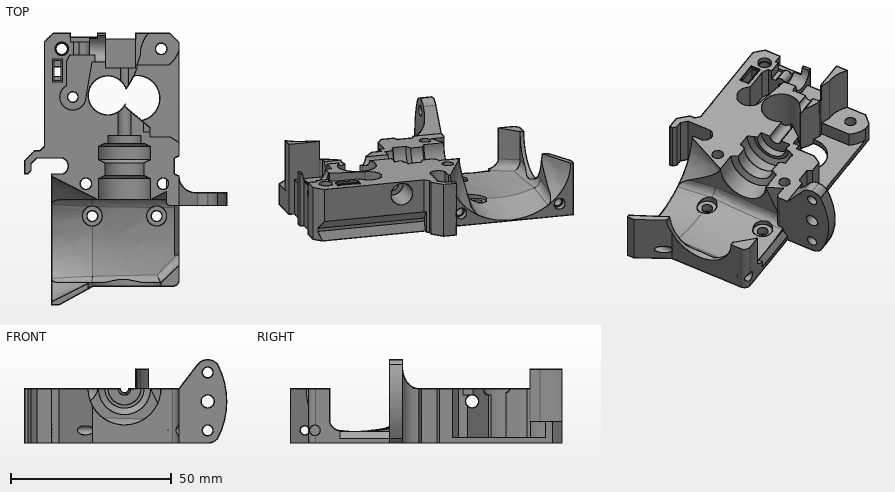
import cadquery as cq
import math


BODY_HEIGHT = 17.0
BOTTOM = -BODY_HEIGHT
OVERCUT = 1.0

BODY_LEFT = -24.9
BODY_RIGHT = 17.0
REAR_CHAMFER = 2.8
REAR_CHAMFER_RIGHT = 3.0
HOOK_LEFT = -31.04
HOOK_BACK = -36.6
HOOK_FRONT = -43.8
HOOK_ROOT_CHAMFER = 1.4
HOOK_CORNER = 3.1
HOOK_INNER_CORNER = 1.8
HOOK_TIP_CHAMFER = 1.0
HOOK_WALL = 2.0
SLOT_BACK = -38.9
SLOT_END = -17.5
SLOT_CORNER = 1.7
DUCT_LEFT = -22.67
DUCT_FRONT = -84.5
FRONT_FACE = -78.8
FRONT_LIP_RIGHT = -20.3
FRONT_KINK = -9.9
FRONT_CORNER_RADIUS = 2.1
NOTCH_DEPTH = 1.5
NOTCH_BACK = -38.2
NOTCH_FRONT = -44.5
NOTCH_TAPER = 0.75

SIDE_GROOVE_TOP = -10.5
SIDE_GROOVE_UPPER = -13.1
SIDE_GROOVE_LOWER = -14.1
SIDE_GROOVE_DEPTH = 1.65
SIDE_GROOVE_FRONT = -35.8
SIDE_GROOVE_FOOT = 0.45

RECESS_LEFT = -5.9
RECESS_RIGHT = 3.5
RECESS_FRONT = -10.9
RECESS_SHELF = -1.8
RECESS_DEPTH = 5.7
INLET_DIAMETER = 2.6
OUTLET_DIAMETER = 4.0
GEAR_SPLIT = -20.0
SEAT_BACK = -31.8
SEAT_TIP_DIAMETER = 10.2
SEAT_TIP_FRONT = -34.3
SEAT_NECK_DIAMETER = 12.2
SEAT_DIAMETER = 16.2
SEAT_CONE = 1.0
SEAT_NECK_BACK = -40.4
SEAT_NECK_FRONT = -44.3

GEAR_CENTER = (-5.2, -19.4)
GEAR_DIAMETER = 12.1
IDLER_CENTER = (3.9, -20.3)
IDLER_DIAMETER = 14.1
IDLER_POCKET_DEPTH = 15.2
REAR_DECK_DEPTH = 10.3
IDLER_BACK = -9.9
IDLER_FRONT = -32.3
IDLER_BACK_LEFT = 3.9
IDLER_BACK_CUSP = (0.46, -17.45)
IDLER_BACK_EDGE = (2.4, -14.3)
IDLER_FRONT_CUSP = (0.2, -22.9)
IDLER_ARC_START = (13.8, IDLER_BACK)
IDLER_ARC_MIDDLE = (15.8, -7.8)
IDLER_ARC_END_Y = -5.2
IDLER_MOUTH_X = 14.2
IDLER_MOUTH_FRONT = -34.1
IDLER_CORNER_X = 7.88
IDLER_CORNER_Y = -29.4
IDLER_RELIEF_LEFT = 5.85
IDLER_RELIEF_BACK = -27.6
IDLER_RELIEF_FRONT = -30.8
IDLER_RELIEF_DEPTH = 2.0

FIN_HEIGHT = 6.0
FIN_LENGTH = 10.0
FIN_BASE_WIDTH = 4.0
FIN_TIP_WIDTH = 0.4
FIN_CURVE_MIDDLE = (5.4, -3.7)
FIN_CURVE_END = (4.9, -6.9)

LEVER_PIVOT = (-16.06, -19.9)
LEVER_RADIUS = 4.07
LEVER_LEFT = -18.05
LEVER_BACK = -6.87
LEVER_CHAMFER = 1.0
LEVER_RIGHT = -10.1
LEVER_STEP_X = -9.15
LEVER_STEP_Y = -8.95
LEVER_DEPTH = 11.0
BALL_AXIS_Y = -4.88
BALL_RADIUS = 4.07
BALL_LEFT = -10.85
MAGNET_LEFT = -15.8
MAGNET_BACK = -2.8
MAGNET_DEPTH = 3.5
MAGNET_SADDLE_X = -12.5
MAGNET_SADDLE_DIAMETER = 3.4
LEVER_PIN_DIAMETER = 1.7
LEVER_PIN_Z = -5.0
REAR_NOTCH_LEFT = -16.8
REAR_NOTCH_RIGHT = -8.4
REAR_NOTCH_DEPTH = 1.3
REAR_LEDGE_DEPTH = 2.5

NUT_CENTER = (-20.85, -11.7)
NUT_RIM = (3.1, 7.2)
NUT_SIZE = (2.1, 6.2)
NUT_OPENING_CENTER = (-20.85, -12.0)
NUT_OPENING = (2.1, 3.0)
NUT_RIM_DEPTH = 0.6
NUT_DEPTH = 10.0

SCREW_DIAMETER = 3.5
REAR_HOLE_LEFT = (-19.5, -4.93)
REAR_HOLE_RIGHT = (11.4, -4.93)
REAR_BORE_DIAMETER = 4.2
REAR_BORE_DEPTH = 1.5
PIVOT_DIAMETER = 3.2
MID_HOLE_X = 12.0
MID_HOLE_Y = -46.85
MID_LEDGE_X = 13.0
MID_LEDGE_HEIGHT = 4.0
FLOOR_HOLE_X = 10.0
FLOOR_HOLE_Y = -56.9
FLOOR_HOLE_DIAMETER = 3.3
FLOOR_BORE_DIAMETER = 6.2
FLOOR_BORE_SEAT = -14.0
TENSION_Y = -28.0
TENSION_Z = -4.0
TENSION_DIAMETER = 4.0
TENSION_BORE_DIAMETER = 7.0
TENSION_BORE_DEPTH = 10.0
FAN_HOLE_Z = -13.0
FAN_HOLE_BACK_Y = -48.0
FAN_HOLE_FRONT_Y = -80.0
FAN_HOLE_DIAMETER = 2.8
FAN_MOUTH_DIAMETER = 3.5
FAN_MOUTH_DEPTH = 2.5
FAN_BACK_HOLE_DEPTH = 8.0
POST_HOLE_Y = -76.85
POST_HOLE_DEPTH = 3.5

DUCT_AXIS_Y = -64.05
DUCT_INLET_HALF_WIDTH = 19.55
DUCT_INLET_DEPTH = 16.7
DUCT_OUTLET_HALF_WIDTH = 30.0
DUCT_OUTLET_DEPTH = 13.4
DUCT_BACK = -51.8
DUCT_INNER_FRONT = -77.6
DUCT_OUTLET_BACK = -53.7
DUCT_MIDDLE_X = -10.0
DUCT_MIDDLE_HALF_WIDTH = 22.0
DUCT_FLARE_X = -8.3
DUCT_FLARE_DEPTH = 8.0
DUCT_FILLET = 3.0
FOOT_EDGE_TOP = -8.0
LIP_LEFT = 15.5
LIP_FRONT = -69.0
LIP_BOTTOM = -15.5
FRONT_POST_BACK = -72.2
FRONT_POST_LEFT = 11.4
POST_RELIEF_BACK = -49.3
POST_RELIEF_DEPTH = 10.0
POST_LEFT = 13.0
POST_CORNER = 1.2
SADDLE_RADIUS = 11.3
DUCT_BOTTOM_CHAMFER_Y = 3.2
DUCT_BOTTOM_CHAMFER_Z = 4.6
DUCT_BOTTOM_CHAMFER_RIGHT = -17.5

EAR_BACK = -49.6
EAR_FRONT = -53.7
EAR_RIGHT = 31.83
EAR_HOLE_X = 25.87
EAR_HOLE_PITCH = 9.0
EAR_MIDDLE_Z = -4.0
EAR_END_RADIUS = 4.0
EAR_SIDE_X = 28.97
EAR_SIDE_RISE = 11.55
EAR_HOLE_DIAMETER = 3.3
EAR_MIDDLE_HOLE_DIAMETER = 4.0
EAR_FILLET = 5.0
EAR_FOOT_ANGLE = 40.0


def box(x0, x1, y0, y1, z0, z1):
    return cq.Workplane("XY").box(x1 - x0, y1 - y0, z1 - z0, centered=False).translate((x0, y0, z0))


def prism(points, z0, z1):
    return cq.Workplane("XY").workplane(offset=z0).polyline(points).close().extrude(z1 - z0)


def cylinder_z(center, diameter, z0, z1):
    return cq.Workplane("XY").workplane(offset=z0).center(*center).circle(diameter / 2).extrude(z1 - z0)


def cylinder_x(y, z, diameter, x0, x1):
    return cq.Workplane("YZ").workplane(offset=x0).center(y, z).circle(diameter / 2).extrude(x1 - x0)


def cylinder_y(x, z, diameter, y0, y1):
    return cq.Workplane("XZ").workplane(offset=-y1).center(x, z).circle(diameter / 2).extrude(y1 - y0)


def drill(center, diameter):
    return cylinder_z(center, diameter, BOTTOM - OVERCUT, OVERCUT)


def tetrahedron(corners):
    """Solid with four flat faces, each face leaving out one of the corners."""
    sides = []
    for omitted in range(len(corners)):
        loop = [cq.Vector(*corner) for index, corner in enumerate(corners) if index != omitted]
        sides.append(cq.Face.makeFromWires(cq.Wire.makePolygon(loop, close=True)))
    return cq.Workplane("XY").newObject([cq.Solid.makeSolid(cq.Shell.makeShell(sides))])


def body_outline():
    """Full-height plate with the cable hook, cable slot, duct front and side notch."""
    hook_inner = HOOK_LEFT + HOOK_WALL
    notch_x = BODY_RIGHT - NOTCH_DEPTH
    slot_straight_end = SLOT_END - SLOT_CORNER
    outline = (
        cq.Workplane("XY").workplane(offset=BOTTOM)
        .moveTo(BODY_LEFT + REAR_CHAMFER, 0)
        .lineTo(BODY_LEFT, -REAR_CHAMFER)
        .lineTo(BODY_LEFT, HOOK_BACK + HOOK_ROOT_CHAMFER)
        .lineTo(BODY_LEFT - HOOK_ROOT_CHAMFER, HOOK_BACK)
        .lineTo(HOOK_LEFT + HOOK_CORNER, HOOK_BACK)
        .lineTo(HOOK_LEFT, HOOK_BACK - HOOK_CORNER)
        .lineTo(HOOK_LEFT, HOOK_FRONT)
        .lineTo(hook_inner - HOOK_TIP_CHAMFER, HOOK_FRONT)
        .lineTo(hook_inner, HOOK_FRONT + HOOK_TIP_CHAMFER)
        .lineTo(hook_inner, SLOT_BACK - HOOK_INNER_CORNER)
        .lineTo(hook_inner + HOOK_INNER_CORNER, SLOT_BACK)
        .lineTo(slot_straight_end, SLOT_BACK)
        .threePointArc((SLOT_END, (SLOT_BACK + HOOK_FRONT) / 2), (slot_straight_end, HOOK_FRONT))
        .lineTo(DUCT_LEFT, HOOK_FRONT)
        .lineTo(DUCT_LEFT, DUCT_FRONT)
        .lineTo(FRONT_LIP_RIGHT, DUCT_FRONT)
        .lineTo(FRONT_KINK, FRONT_FACE)
        .lineTo(BODY_RIGHT - FRONT_CORNER_RADIUS, FRONT_FACE)
        .radiusArc((BODY_RIGHT, FRONT_FACE + FRONT_CORNER_RADIUS), -FRONT_CORNER_RADIUS)
        .lineTo(BODY_RIGHT, NOTCH_FRONT)
        .lineTo(notch_x, NOTCH_FRONT + NOTCH_TAPER)
        .lineTo(notch_x, NOTCH_BACK - NOTCH_TAPER)
        .lineTo(BODY_RIGHT, NOTCH_BACK)
        .lineTo(BODY_RIGHT, -REAR_CHAMFER_RIGHT)
        .lineTo(BODY_RIGHT - REAR_CHAMFER_RIGHT, 0)
        .close()
    )
    return outline.extrude(BODY_HEIGHT)


def side_groove():
    """V groove along the lower left side of the body."""
    deep = BODY_LEFT + SIDE_GROOVE_DEPTH
    outside = BODY_LEFT - OVERCUT
    profile = [
        (outside, SIDE_GROOVE_TOP),
        (BODY_LEFT, SIDE_GROOVE_TOP),
        (deep, SIDE_GROOVE_UPPER),
        (deep, SIDE_GROOVE_LOWER),
        (BODY_LEFT + SIDE_GROOVE_FOOT, BOTTOM),
        (outside, BOTTOM),
    ]
    return cq.Workplane("XZ").polyline(profile).close().extrude(-SIDE_GROOVE_FRONT)


def filament_path():
    """Half-round channel and stepped heat-sink seat, turned about the Y axis."""
    neck = SEAT_NECK_DIAMETER / 2
    seat = SEAT_DIAMETER / 2
    profile = [
        (0, RECESS_FRONT + OVERCUT),
        (INLET_DIAMETER / 2, RECESS_FRONT + OVERCUT),
        (INLET_DIAMETER / 2, GEAR_SPLIT),
        (OUTLET_DIAMETER / 2, GEAR_SPLIT),
        (OUTLET_DIAMETER / 2, SEAT_BACK),
        (SEAT_TIP_DIAMETER / 2, SEAT_BACK),
        (SEAT_TIP_DIAMETER / 2, SEAT_TIP_FRONT),
        (neck, SEAT_TIP_FRONT),
        (seat, SEAT_TIP_FRONT - SEAT_CONE),
        (seat, SEAT_NECK_BACK + SEAT_CONE),
        (neck, SEAT_NECK_BACK),
        (neck, SEAT_NECK_FRONT),
        (seat, SEAT_NECK_FRONT - SEAT_CONE),
        (seat, DUCT_BACK - OVERCUT),
        (0, DUCT_BACK - OVERCUT),
    ]
    return cq.Workplane("XY").polyline(profile).close().revolve(360, (0, 0, 0), (0, 1, 0))


def idler_pocket():
    """Pocket open to the right, with the idler clearance hole through its floor."""
    outside = BODY_RIGHT + OVERCUT
    footprint = (
        cq.Workplane("XY").workplane(offset=BOTTOM)
        .moveTo(*IDLER_BACK_CUSP)
        .threePointArc(IDLER_BACK_EDGE, (IDLER_BACK_LEFT, RECESS_FRONT))
        .lineTo(IDLER_BACK_LEFT, IDLER_BACK)
        .lineTo(*IDLER_ARC_START)
        .threePointArc(IDLER_ARC_MIDDLE, (BODY_RIGHT, IDLER_ARC_END_Y))
        .lineTo(outside, IDLER_ARC_END_Y)
        .lineTo(outside, IDLER_MOUTH_FRONT)
        .lineTo(BODY_RIGHT, IDLER_MOUTH_FRONT)
        .lineTo(IDLER_MOUTH_X, IDLER_FRONT)
        .lineTo(IDLER_CORNER_X, IDLER_FRONT)
        .lineTo(IDLER_CORNER_X, IDLER_CORNER_Y)
        .lineTo(*IDLER_FRONT_CUSP)
        .close()
        .extrude(BODY_HEIGHT)
    )
    above_floor = box(GEAR_CENTER[0], outside, IDLER_MOUTH_FRONT, 0, -IDLER_POCKET_DEPTH, OVERCUT)
    pocket = footprint.intersect(above_floor)
    through = footprint.intersect(drill(IDLER_CENTER, IDLER_DIAMETER))
    relief = box(
        IDLER_RELIEF_LEFT, IDLER_CORNER_X, IDLER_RELIEF_FRONT, IDLER_RELIEF_BACK, -IDLER_RELIEF_DEPTH, OVERCUT
    )
    return pocket.union(through).union(relief)


def rear_recess():
    """Square recess behind the gear, open through the rear face."""
    pocket = box(RECESS_LEFT, RECESS_RIGHT, RECESS_FRONT, OVERCUT, -RECESS_DEPTH, OVERCUT)
    opening = box(RECESS_LEFT, RECESS_RIGHT, RECESS_SHELF, OVERCUT, BOTTOM - OVERCUT, OVERCUT)
    return pocket.union(opening)


def rear_deck():
    """Low deck behind the idler pocket, open to the rear and the right."""
    return box(RECESS_RIGHT, BODY_RIGHT, IDLER_BACK, 0, -REAR_DECK_DEPTH, 0)


def fin():
    """Thin guard standing on the rear deck beside the recess."""
    return (
        cq.Workplane("XY").workplane(offset=-REAR_DECK_DEPTH)
        .moveTo(RECESS_RIGHT, 0)
        .lineTo(RECESS_RIGHT + FIN_BASE_WIDTH, 0)
        .threePointArc(FIN_CURVE_MIDDLE, FIN_CURVE_END)
        .lineTo(RECESS_RIGHT + FIN_TIP_WIDTH, -FIN_LENGTH)
        .lineTo(RECESS_RIGHT, -FIN_LENGTH)
        .close()
        .extrude(FIN_HEIGHT + REAR_DECK_DEPTH)
    )


def lever_pocket():
    """Sensor lever pocket with its pivot hole, ball groove and magnet seat."""
    pivot_x, pivot_y = LEVER_PIVOT
    pocket = prism(
        [
            LEVER_PIVOT,
            (LEVER_LEFT, pivot_y),
            (LEVER_LEFT, LEVER_STEP_Y),
            (LEVER_LEFT + LEVER_CHAMFER, LEVER_BACK),
            (LEVER_STEP_X, LEVER_BACK),
            (LEVER_STEP_X, LEVER_STEP_Y),
            (LEVER_RIGHT, LEVER_STEP_Y),
            (pivot_x + LEVER_RADIUS, pivot_y),
        ],
        -LEVER_DEPTH,
        OVERCUT,
    )
    pocket = pocket.union(cylinder_z(LEVER_PIVOT, 2 * LEVER_RADIUS, -LEVER_DEPTH, OVERCUT))
    groove = cylinder_x(BALL_AXIS_Y, 0, 2 * BALL_RADIUS, BALL_LEFT, RECESS_RIGHT)
    magnet = box(MAGNET_LEFT, BALL_LEFT, LEVER_BACK, MAGNET_BACK, -MAGNET_DEPTH, OVERCUT)
    saddle = cylinder_y(MAGNET_SADDLE_X, -MAGNET_DEPTH, MAGNET_SADDLE_DIAMETER, LEVER_BACK, MAGNET_BACK)
    pin = cylinder_y(MAGNET_SADDLE_X, LEVER_PIN_Z, LEVER_PIN_DIAMETER, LEVER_BACK - OVERCUT, OVERCUT)
    ledge = box(REAR_NOTCH_LEFT, REAR_NOTCH_RIGHT, MAGNET_BACK, OVERCUT, -REAR_LEDGE_DEPTH, OVERCUT)
    notch = box(REAR_NOTCH_LEFT, REAR_NOTCH_RIGHT, -REAR_NOTCH_DEPTH, OVERCUT, BOTTOM - OVERCUT, OVERCUT)
    cut = pocket.union(groove).union(magnet.cut(saddle)).union(pin).union(ledge).union(notch)
    return cut.union(drill(LEVER_PIVOT, PIVOT_DIAMETER))


def nut_slot():
    """Stepped nut slot with a smaller opening through its floor."""
    def slot(center, size, depth):
        return cq.Workplane("XY").center(*center).rect(*size).extrude(-depth)

    cut = slot(NUT_CENTER, NUT_RIM, NUT_RIM_DEPTH).union(slot(NUT_CENTER, NUT_SIZE, NUT_DEPTH))
    return cut.union(slot(NUT_OPENING_CENTER, NUT_OPENING, BODY_HEIGHT + OVERCUT))


def elliptical_loft(sections):
    """Straight-sided loft through (x, half width, depth) ellipses about the duct axis."""
    path = cq.Workplane("YZ").center(DUCT_AXIS_Y, 0)
    position = 0
    for x, half_width, depth in sections:
        path = path.workplane(offset=x - position).ellipse(half_width, depth)
        position = x
    lower_half = box(DUCT_LEFT, BODY_RIGHT, DUCT_FRONT, HOOK_FRONT, BOTTOM, 0)
    return path.loft(ruled=True).intersect(lower_half)


def fan_duct():
    """Duct narrowing from the round fan inlet on the left to the open right side."""
    inlet = (DUCT_LEFT, DUCT_INLET_HALF_WIDTH, DUCT_INLET_DEPTH)
    middle = (DUCT_MIDDLE_X, DUCT_MIDDLE_HALF_WIDTH, DUCT_OUTLET_DEPTH)
    outlet = (BODY_RIGHT, DUCT_OUTLET_HALF_WIDTH, DUCT_OUTLET_DEPTH)
    bowl = elliptical_loft([inlet, middle, outlet])
    walls = (
        cq.Workplane("XY").workplane(offset=BOTTOM)
        .moveTo(DUCT_LEFT, DUCT_BACK)
        .lineTo(POST_LEFT, DUCT_BACK)
        .lineTo(POST_LEFT, DUCT_OUTLET_BACK + POST_CORNER)
        .radiusArc((POST_LEFT + POST_CORNER, DUCT_OUTLET_BACK), -POST_CORNER)
        .lineTo(BODY_RIGHT, DUCT_OUTLET_BACK)
        .lineTo(BODY_RIGHT, FRONT_POST_BACK)
        .lineTo(FRONT_POST_LEFT, DUCT_INNER_FRONT)
        .lineTo(DUCT_LEFT, DUCT_INNER_FRONT)
        .close()
        .extrude(BODY_HEIGHT)
    )
    back_foot = cq.selectors.BoxSelector(
        (DUCT_LEFT, DUCT_BACK - OVERCUT, BOTTOM),
        (POST_LEFT - OVERCUT, DUCT_BACK + OVERCUT, FOOT_EDGE_TOP),
    )
    front_foot = cq.selectors.BoxSelector(
        (DUCT_LEFT, DUCT_INNER_FRONT - OVERCUT, BOTTOM),
        (BODY_RIGHT - OVERCUT, FRONT_POST_BACK, FOOT_EDGE_TOP),
    )
    passage = bowl.intersect(walls)
    passage = passage.edges(back_foot + front_foot).edges("not(#X and #Z)").fillet(DUCT_FILLET)
    lip = (
        cq.Workplane("XZ").workplane(offset=-DUCT_OUTLET_BACK)
        .moveTo(LIP_LEFT, -DUCT_OUTLET_DEPTH)
        .lineTo(BODY_RIGHT, LIP_BOTTOM)
        .lineTo(BODY_RIGHT, FOOT_EDGE_TOP)
        .lineTo(LIP_LEFT, FOOT_EDGE_TOP)
        .close()
        .extrude(DUCT_OUTLET_BACK - LIP_FRONT)
    )
    flare = elliptical_loft([inlet, (DUCT_FLARE_X, DUCT_BACK - DUCT_AXIS_Y, DUCT_FLARE_DEPTH)])
    saddle = cylinder_y(0, 0, 2 * SADDLE_RADIUS, FRONT_FACE - OVERCUT, DUCT_AXIS_Y)
    relief_left = SEAT_DIAMETER / 2
    post_relief = tetrahedron(
        [
            (relief_left, DUCT_BACK, 0),
            (POST_LEFT, POST_RELIEF_BACK, 0),
            (POST_LEFT, DUCT_BACK, 0),
            (POST_LEFT, DUCT_BACK, -POST_RELIEF_DEPTH),
        ]
    )
    return passage.union(lip).union(flare).union(saddle).union(post_relief)


def duct_bottom_chamfer():
    """Slanted cut across the lower rear left corner of the duct."""
    chamfer_top = BOTTOM + DUCT_BOTTOM_CHAMFER_Z
    chamfer_front = HOOK_FRONT - DUCT_BOTTOM_CHAMFER_Y
    return tetrahedron(
        [
            (DUCT_LEFT, HOOK_FRONT, BOTTOM),
            (DUCT_LEFT, HOOK_FRONT, chamfer_top),
            (DUCT_LEFT, chamfer_front, BOTTOM),
            (DUCT_BOTTOM_CHAMFER_RIGHT, HOOK_FRONT, BOTTOM),
        ]
    )


def mounting_ear():
    """Ear with three holes, joined to the right side by a large fillet."""
    top_hole_z = EAR_MIDDLE_Z + EAR_HOLE_PITCH
    top_z = top_hole_z + EAR_END_RADIUS
    dx = EAR_HOLE_X - BODY_RIGHT
    angle = math.atan2(top_hole_z, dx) + math.asin(EAR_END_RADIUS / math.hypot(dx, top_hole_z))
    tangent = (
        EAR_HOLE_X - EAR_END_RADIUS * math.sin(angle),
        top_hole_z + EAR_END_RADIUS * math.cos(angle),
    )
    middle = EAR_MIDDLE_Z
    foot_angle = math.radians(EAR_FOOT_ANGLE)
    foot_dx = EAR_END_RADIUS * math.sin(foot_angle)
    foot_drop = EAR_HOLE_PITCH + EAR_END_RADIUS * math.cos(foot_angle)
    depth = NOTCH_FRONT - EAR_FRONT
    profile = (
        cq.Workplane("XZ").workplane(offset=-NOTCH_FRONT)
        .moveTo(BODY_RIGHT, BOTTOM)
        .lineTo(BODY_RIGHT, 0)
        .lineTo(*tangent)
        .threePointArc((EAR_HOLE_X, top_z), (EAR_SIDE_X, middle + EAR_SIDE_RISE))
        .threePointArc((EAR_RIGHT, middle), (EAR_SIDE_X, middle - EAR_SIDE_RISE))
        .threePointArc((EAR_HOLE_X + foot_dx, middle - foot_drop), (EAR_HOLE_X, BOTTOM))
        .close()
        .extrude(depth)
    )
    plan = (
        cq.Workplane("XY").workplane(offset=BOTTOM)
        .moveTo(BODY_RIGHT, EAR_FRONT)
        .lineTo(EAR_RIGHT, EAR_FRONT)
        .lineTo(EAR_RIGHT, EAR_BACK)
        .lineTo(BODY_RIGHT + EAR_FILLET, EAR_BACK)
        .radiusArc((BODY_RIGHT, EAR_BACK + EAR_FILLET), EAR_FILLET)
        .close()
        .extrude(top_z - BOTTOM)
    )
    ear = profile.intersect(plan)
    for step, diameter in [(-1, EAR_HOLE_DIAMETER), (0, EAR_MIDDLE_HOLE_DIAMETER), (1, EAR_HOLE_DIAMETER)]:
        hole_z = middle + step * EAR_HOLE_PITCH
        ear = ear.cut(cylinder_y(EAR_HOLE_X, hole_z, diameter, DUCT_AXIS_Y, SEAT_BACK))
    return ear


def vertical_holes():
    """Screw holes along Z, with their counterbores."""
    cut = drill(REAR_HOLE_LEFT, SCREW_DIAMETER).union(drill(REAR_HOLE_RIGHT, SCREW_DIAMETER))
    cut = cut.union(cylinder_z(REAR_HOLE_LEFT, REAR_BORE_DIAMETER, -REAR_BORE_DEPTH, OVERCUT))
    for side in (-1, 1):
        floor_hole = (side * FLOOR_HOLE_X, FLOOR_HOLE_Y)
        cut = cut.union(drill((side * MID_HOLE_X, MID_HOLE_Y), SCREW_DIAMETER))
        cut = cut.union(drill(floor_hole, FLOOR_HOLE_DIAMETER))
        cut = cut.union(cylinder_z(floor_hole, FLOOR_BORE_DIAMETER, FLOOR_BORE_SEAT, -OVERCUT))
    ledge = box(MID_LEDGE_X, BODY_RIGHT, DUCT_BACK, NOTCH_FRONT, BOTTOM - OVERCUT, BOTTOM + MID_LEDGE_HEIGHT)
    return cut.cut(ledge)


def side_holes():
    """Holes along X: idler tension screw, fan screws and the front post hole."""
    cut = cylinder_x(TENSION_Y, TENSION_Z, TENSION_DIAMETER, BODY_LEFT, BODY_RIGHT)
    bore_end = BODY_LEFT + TENSION_BORE_DEPTH
    cut = cut.union(cylinder_x(TENSION_Y, TENSION_Z, TENSION_BORE_DIAMETER, BODY_LEFT, bore_end))
    back_end = DUCT_LEFT + FAN_BACK_HOLE_DEPTH
    for y, end in [(FAN_HOLE_BACK_Y, back_end), (FAN_HOLE_FRONT_Y, FRONT_KINK)]:
        cut = cut.union(cylinder_x(y, FAN_HOLE_Z, FAN_HOLE_DIAMETER, DUCT_LEFT, end))
        mouth_end = DUCT_LEFT + FAN_MOUTH_DEPTH
        cut = cut.union(cylinder_x(y, FAN_HOLE_Z, FAN_MOUTH_DIAMETER, DUCT_LEFT, mouth_end))
    post_start = BODY_RIGHT - POST_HOLE_DEPTH
    return cut.union(cylinder_x(POST_HOLE_Y, FAN_HOLE_Z, FLOOR_HOLE_DIAMETER, post_start, BODY_RIGHT))


result = body_outline().cut(side_groove())
result = result.cut(fan_duct()).cut(duct_bottom_chamfer())
result = result.cut(filament_path())
result = result.cut(drill(GEAR_CENTER, GEAR_DIAMETER)).cut(idler_pocket())
result = result.cut(lever_pocket())
result = result.cut(rear_deck()).cut(rear_recess())
result = result.cut(nut_slot())
result = result.cut(vertical_holes()).cut(side_holes())
result = result.union(fin())
result = result.union(mounting_ear())